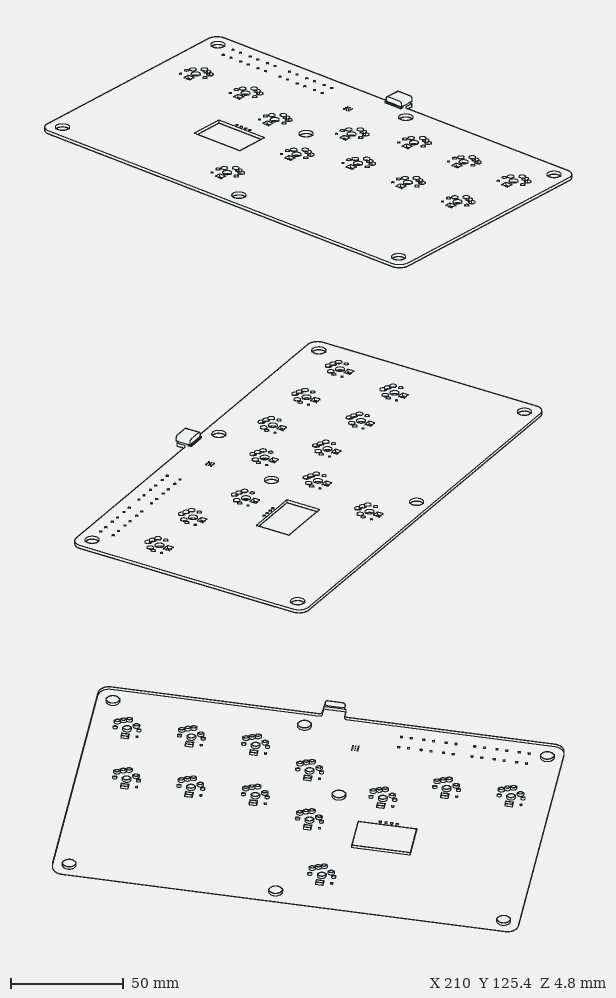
import cadquery as cq
board_length = 210.0
board_front = -62.8
board_back = 57.1
board_thickness = 1.6
board_corner_radius = 5.0
tab_width = 10.0
tab_length = 4.8
tab_back = board_back + tab_length
tab_fillet = 1.3

screw_hole_diameter = 6.3
corner_hole_x = 97.9
back_hole_y = 50.2
front_hole_y = -55.9
screw_hole_places = [
    (-corner_hole_x, back_hole_y),
    (corner_hole_x, back_hole_y),
    (11.5, back_hole_y),
    (-11.5, 9.2),
    (-corner_hole_x, front_hole_y),
    (corner_hole_x, front_hole_y),
    (4.8, front_hole_y),
]

window_length = 26.5
window_width = 16.8
window_place = (-36.3, -14.0)
display_pin_diameter = 1.1
display_pin_pitch = 2.5
display_pin_count = 4
display_pin_row_centre = (-36.5, -4.2)

button_pin_diameter = 1.0
button_pin_gap_x = 4.5
button_pin_gap_y = 6.5
button_pitch = 10.0
buttons_per_group = 3
button_group_centres = [(-77.3, 47.5), (-44.3, 47.5)]

via_diameter = 0.35
via_pitch = 1.3
vias_per_side = 3
via_grid_centre = (-13.2, 40.0)

key_centre_diameter = 4.0
key_side_diameter = 1.9
key_side_spacing = 10.7
key_locating_diameter = 0.99
key_locating_offset = (-5.2, -4.2)
key_light_length = 3.4
key_light_width = 3.0
key_light_offset = (0, -4.6)
key_pin_diameter = 3.0
key_pin_offset = (-3.8, 2.5)
socket_hole_diameter = key_pin_diameter
socket_hole_offsets = [(0, 5.9), (2.5, 5.0), (5.0, 3.8)]

key_pitch = 29.0
left_row_y = 22.0
left_row_x = -86.7
upper_row_y = 33.5
upper_row_x = 30.5
lower_row_y = 2.0
lower_row_x = 24.8
key_places = [
    *[(left_row_x + i * key_pitch, left_row_y) for i in range(2)],
    *[(upper_row_x + i * key_pitch, upper_row_y) for i in range(3)],
    *[(lower_row_x + i * key_pitch, lower_row_y) for i in range(3)],
    (-31.0, 10.7),
    (4.0, left_row_y),
    (-1.7, -8.8),
    (-13.5, -42.5),
]

shell_width = 9.0
shell_height = 3.2
shell_corner_radius = 1.3
shell_length = 7.1
shell_overhang = 0.75
shell_back = tab_back + shell_overhang
shell_front = shell_back - shell_length
base_length = 1.5
base_height = 0.6
base_step = 0.6


def spread(count, pitch):
    """Evenly spaced positions centred on zero."""
    return [(i - (count - 1) / 2) * pitch for i in range(count)]


def drill(board, places, diameter):
    """Cut round through holes at the given places."""
    holes = cq.Workplane("XY").pushPoints(places).circle(diameter / 2).extrude(board_thickness)
    return board.cut(holes)


def cut_windows(board, places, length, width):
    """Cut rectangular through openings centred on the given places."""
    windows = cq.Workplane("XY").pushPoints(places).rect(length, width).extrude(board_thickness)
    return board.cut(windows)


def make_blank():
    """The board's outline, with its tab blended into the back edge."""
    plate = (
        cq.Workplane("XY")
        .center(0, (board_front + board_back) / 2)
        .rect(board_length, board_back - board_front)
        .extrude(board_thickness)
        .edges("|Z")
        .fillet(board_corner_radius)
    )
    tab_side = tab_width / 2
    tab = (
        cq.Workplane("XY")
        .moveTo(-tab_side - tab_fillet, board_back)
        .radiusArc((-tab_side, board_back + tab_fillet), -tab_fillet)
        .lineTo(-tab_side, tab_back)
        .lineTo(tab_side, tab_back)
        .lineTo(tab_side, board_back + tab_fillet)
        .radiusArc((tab_side + tab_fillet, board_back), -tab_fillet)
        .close()
        .extrude(board_thickness)
    )
    return plate.union(tab)


def cut_display(board):
    x, y = display_pin_row_centre
    pins = [(x + dx, y) for dx in spread(display_pin_count, display_pin_pitch)]
    board = cut_windows(board, [window_place], window_length, window_width)
    return drill(board, pins, display_pin_diameter)


def drill_button_pins(board):
    pins = [
        (x + button_x + pin_x, y + pin_y)
        for x, y in button_group_centres
        for button_x in spread(buttons_per_group, button_pitch)
        for pin_x in spread(2, button_pin_gap_x)
        for pin_y in spread(2, button_pin_gap_y)
    ]
    return drill(board, pins, button_pin_diameter)


def drill_vias(board):
    x, y = via_grid_centre
    steps = spread(vias_per_side, via_pitch)
    return drill(board, [(x + dx, y + dy) for dx in steps for dy in steps], via_diameter)


def at_each_key(offset):
    """The places that lie at one offset from every switch centre."""
    return [(x + offset[0], y + offset[1]) for x, y in key_places]


def cut_key_patterns(board):
    board = drill(board, key_places, key_centre_diameter)
    for side in spread(2, key_side_spacing):
        board = drill(board, at_each_key((side, 0)), key_side_diameter)
    board = drill(board, at_each_key(key_locating_offset), key_locating_diameter)
    board = drill(board, at_each_key(key_pin_offset), key_pin_diameter)
    for offset in socket_hole_offsets:
        board = drill(board, at_each_key(offset), socket_hole_diameter)
    return cut_windows(board, at_each_key(key_light_offset), key_light_length, key_light_width)


def make_board():
    board = drill(make_blank(), screw_hole_places, screw_hole_diameter)
    board = cut_display(board)
    board = drill_button_pins(board)
    board = drill_vias(board)
    return cut_key_patterns(board)


def make_connector():
    shell = (
        cq.Workplane("XZ", origin=(0, shell_back, board_thickness + shell_height / 2))
        .rect(shell_width, shell_height)
        .extrude(shell_length)
        .edges("|Y")
        .fillet(shell_corner_radius)
    )
    base_centre_y = shell_front - base_step + base_length / 2
    base = (
        cq.Workplane("XY", origin=(0, base_centre_y, board_thickness))
        .rect(shell_width, base_length)
        .extrude(base_height)
    )
    return shell.union(base)


board = make_board()
connector = make_connector()
result = cq.Compound.makeCompound([board.val(), connector.val()])